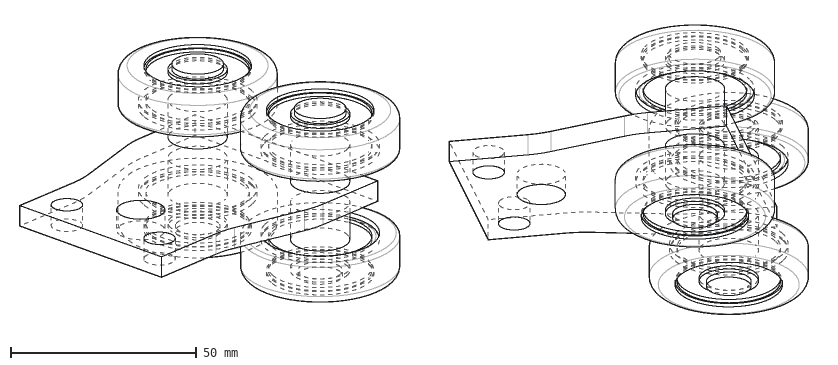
import cadquery as cq
import math

overall_width = 88.0
overall_length = 88.5
overall_height = 49.0

wheel_diameter = 43.0
wheel_radius = wheel_diameter / 2
wheel_width = 12.0
outer_rim_fillet = 2.5
inner_rim_fillet = 1.0
axle_x = (overall_width - wheel_diameter) / 2

bearing_step = 1.0
bearing_seat_radius = 32.0 / 2
bearing_edge_fillet = 1.0
lip_radius = 29.0 / 2
shield_radius = 28.0 / 2

axle_radius = 16.0 / 2
upper_head_radius = 14.0 / 2
lower_head_radius = 12.0 / 2
head_projection = 0.505

head_end_z = overall_height / 2
wheel_outer_z = head_end_z - head_projection
wheel_inner_z = wheel_outer_z - wheel_width
axle_shoulder_z = wheel_outer_z - bearing_step

plate_thickness = 6.0
plate_length = 78.0
plate_bottom_y = wheel_radius - overall_length
plate_top_y = plate_bottom_y + plate_length
shoulder_length = 25.05
taper_angle = 15.0
bend_radius = 25.05
lower_half_width = 26.0
taper_length = plate_length - 2 * shoulder_length
upper_half_width = lower_half_width + taper_length * math.tan(math.radians(taper_angle))

center_hole_diameter = 13.0
center_hole_edge_distance = 20.0
center_hole_y = plate_bottom_y + center_hole_edge_distance
side_hole_diameter = 8.5
side_hole_x = 17.0
side_hole_edge_distance = 9.0
side_hole_y = plate_bottom_y + side_hole_edge_distance


def cylinder(radius, z_start, z_end):
    """Solid cylinder on the Z axis between two heights."""
    return cq.Workplane("XY").workplane(offset=z_start).circle(radius).extrude(z_end - z_start)


def make_plate():
    """Plate that tapers from the wide axle end to the narrow hanger end."""
    lower_corner_y = plate_bottom_y + shoulder_length
    upper_corner_y = plate_top_y - shoulder_length
    right_side = [
        (lower_half_width, plate_bottom_y),
        (lower_half_width, lower_corner_y),
        (upper_half_width, upper_corner_y),
        (upper_half_width, plate_top_y),
    ]
    left_side = [(-x, y) for x, y in reversed(right_side)]
    plate = (
        cq.Workplane("XY")
        .workplane(offset=-plate_thickness / 2)
        .polyline(right_side + left_side)
        .close()
        .extrude(plate_thickness)
    )
    bend_zone = cq.selectors.BoxSelector(
        (-overall_width, plate_bottom_y + shoulder_length / 2, -plate_thickness),
        (overall_width, plate_top_y - shoulder_length / 2, plate_thickness),
    )
    plate = plate.edges("|Z").edges(bend_zone).fillet(bend_radius)

    holes = [(0, center_hole_y, center_hole_diameter)]
    holes += [(side * side_hole_x, side_hole_y, side_hole_diameter) for side in (-1, 1)]
    for x, y, diameter in holes:
        cutter = cylinder(diameter / 2, -plate_thickness, plate_thickness)
        plate = plate.cut(cutter.translate((x, y, 0)))
    return plate


def make_bearing_seat_cutter(ledge_z):
    """Space in front of the bearing, reaching around its rounded outer edge."""
    land_radius = bearing_seat_radius - bearing_edge_fillet
    fillet_end_z = ledge_z + bearing_edge_fillet
    arc_offset = bearing_edge_fillet * math.cos(math.radians(45))
    arc_middle = (land_radius + arc_offset, fillet_end_z - arc_offset)
    return (
        cq.Workplane("XZ")
        .moveTo(0, wheel_inner_z)
        .lineTo(bearing_seat_radius, wheel_inner_z)
        .lineTo(bearing_seat_radius, fillet_end_z)
        .threePointArc(arc_middle, (land_radius, ledge_z))
        .lineTo(0, ledge_z)
        .close()
        .revolve(360, (0, 0, 0), (0, 1, 0))
    )


def make_wheel():
    """Upper wheel with rounded rims and a stepped bearing recess in each face."""
    wheel = cylinder(wheel_radius, wheel_inner_z, wheel_outer_z)
    wheel = wheel.faces(">Z").edges().fillet(outer_rim_fillet)
    wheel = wheel.faces("<Z").edges().fillet(inner_rim_fillet)

    outer_ledge_z = wheel_outer_z - bearing_step
    wheel = wheel.cut(cylinder(lip_radius, outer_ledge_z, wheel_outer_z))
    wheel = wheel.cut(cylinder(shield_radius, outer_ledge_z - bearing_step, outer_ledge_z))

    inner_ledge_z = wheel_inner_z + bearing_step
    wheel = wheel.cut(make_bearing_seat_cutter(inner_ledge_z))
    wheel = wheel.cut(cylinder(shield_radius, inner_ledge_z, inner_ledge_z + bearing_step))
    return wheel


def make_wheel_set():
    """One axle with a wheel at each end and a smaller head beyond each wheel."""
    upper_wheel = make_wheel()
    lower_wheel = upper_wheel.mirror("XY")
    axle = cylinder(axle_radius, -axle_shoulder_z, axle_shoulder_z)
    upper_head = cylinder(upper_head_radius, axle_shoulder_z, head_end_z)
    lower_head = cylinder(lower_head_radius, -head_end_z, -axle_shoulder_z)
    return axle.union(upper_wheel).union(lower_wheel).union(upper_head).union(lower_head)


result = make_plate()
wheel_set = make_wheel_set()
for side in (-1, 1):
    result = result.union(wheel_set.translate((side * axle_x, 0, 0)))